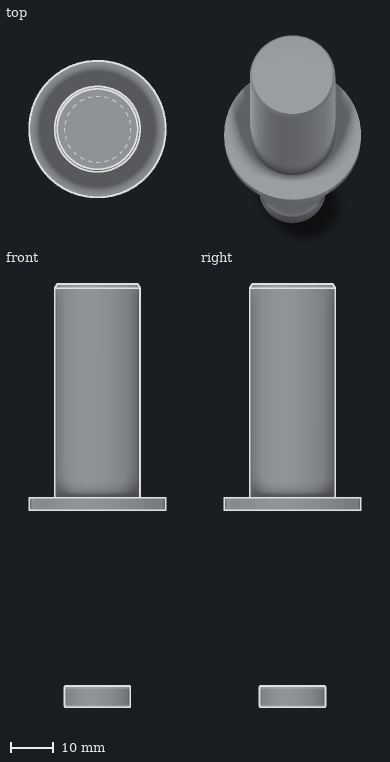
import cadquery as cq

total_height = 99.0

flange_diameter = 32.0
flange_thickness = 3.0
shaft_diameter = 20.0
shaft_length = 50.0
shaft_chamfer_height = 1.0
shaft_chamfer_inset = 0.6

disc_diameter = 15.4
disc_thickness = 5.0
disc_fillet = 0.4

flange_bottom = total_height - shaft_length - flange_thickness


def make_flanged_pin():
    """Round shaft with a chamfered top, standing on a thin round flange."""
    flange = (
        cq.Workplane("XY", origin=(0, 0, flange_bottom))
        .circle(flange_diameter / 2)
        .extrude(flange_thickness)
    )
    shaft = (
        cq.Workplane("XY", origin=(0, 0, flange_bottom + flange_thickness))
        .circle(shaft_diameter / 2)
        .extrude(shaft_length)
        .faces(">Z")
        .chamfer(shaft_chamfer_height, shaft_chamfer_inset)
    )
    return flange.union(shaft)


def make_disc():
    """Short round disc with both rims rounded."""
    return (
        cq.Workplane("XY")
        .circle(disc_diameter / 2)
        .extrude(disc_thickness)
        .faces("<Z or >Z").edges()
        .fillet(disc_fillet)
    )


flanged_pin = make_flanged_pin()
disc = make_disc()

result = cq.Compound.makeCompound([flanged_pin.val(), disc.val()])